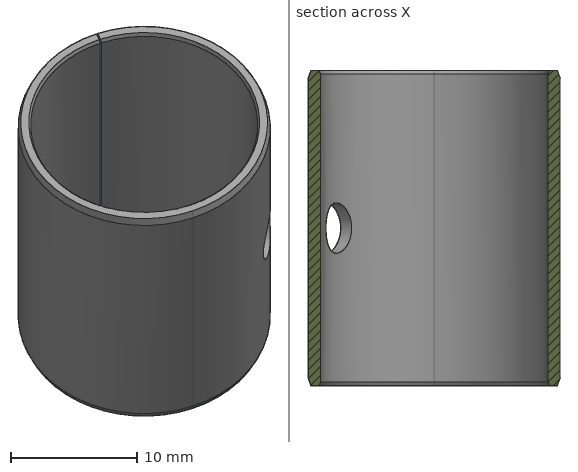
import cadquery as cq
import math

outer_diameter = 20.0
inner_diameter = 18.0
length = 25.0

outer_chamfer_height = 0.6
outer_chamfer_angle = 20.0
inner_chamfer_height = 0.3
inner_chamfer_depth = 0.15

seam_width = 0.1

oil_hole_diameter = 4.0
oil_hole_angle = 59.5

outer_radius = outer_diameter / 2
inner_radius = inner_diameter / 2
half_length = length / 2
outer_chamfer_depth = outer_chamfer_height * math.tan(math.radians(outer_chamfer_angle))


def make_tube():
    """Revolve the chamfered wall section about Z, centred on the origin."""
    end_outer_radius = outer_radius - outer_chamfer_depth
    end_inner_radius = inner_radius + inner_chamfer_depth
    outer_shoulder = half_length - outer_chamfer_height
    inner_shoulder = half_length - inner_chamfer_height
    section = [
        (inner_radius, -inner_shoulder),
        (end_inner_radius, -half_length),
        (end_outer_radius, -half_length),
        (outer_radius, -outer_shoulder),
        (outer_radius, outer_shoulder),
        (end_outer_radius, half_length),
        (end_inner_radius, half_length),
        (inner_radius, inner_shoulder),
    ]
    return cq.Workplane("XZ").polyline(section).close().revolve(360, (0, 0, 0), (0, 1, 0))


def make_seam_cutter():
    """Thin full-length slab reaching from the axis out through the -X wall."""
    slab_centre = (-outer_radius / 2, seam_width / 2, 0)
    return cq.Workplane("XY").box(outer_radius, seam_width, length).translate(slab_centre)


def make_oil_hole_cutter():
    """Radial cylinder reaching from the axis out through the wall at the oil hole angle."""
    drill = cq.Workplane("YZ").circle(oil_hole_diameter / 2).extrude(outer_radius)
    return drill.rotate((0, 0, 0), (0, 0, 1), oil_hole_angle)


result = make_tube().cut(make_seam_cutter()).cut(make_oil_hole_cutter())